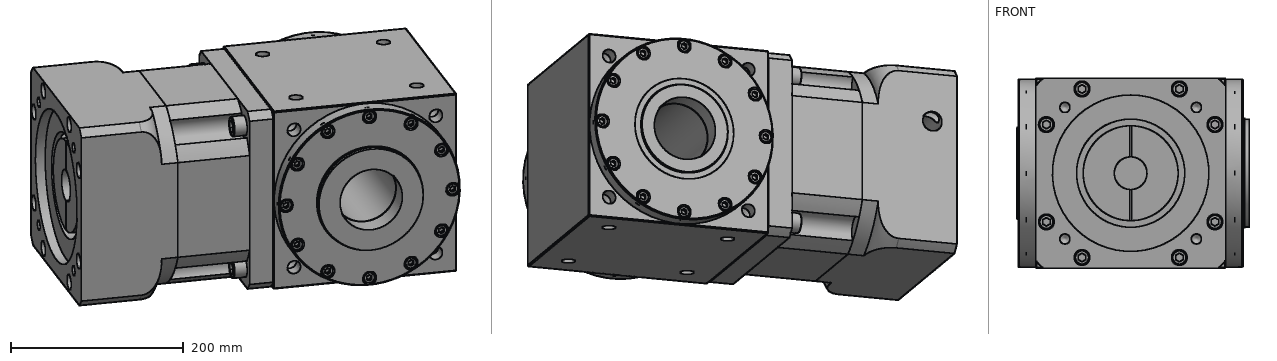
import cadquery as cq
import math

side = 220.0
half = side / 2
length = 450.0
edge_chamfer = 1.5
y_motor_face = half - length

cover_radius = 109.0
cover_face = 130.0
cover_screw_count = 12
cover_screw_circle = 100.0
cover_screw_sink_radius = 8.0
cover_screw_sink_depth = 9.5
cover_screw_head_radius = 6.5
cover_screw_head_height = 8.5
cover_screw_socket_radius = 3.5
cover_screw_socket_depth = 4.5
drive_rim_radius = 63.5
drive_rim_height = 2.0

shaft_bore_radius = 37.5
bore_relief_radius = 38.0
bore_land_length = 29.0
shaft_nose_radius = 53.0
shaft_nose_height = 2.0
seal_recess_radius = 60.5
seal_recess_depth = 0.5
shaft_nose_chamfer = 1.0
shaft_collar_radius = 62.5
shaft_collar_end = 137.2

corner_radius = 149.5
neck_radius = 124.5
y_flange_end = -half - 28.5
y_ring_end = y_flange_end - 86.0
stage_screw_offset = 87.8
stage_screw_head_radius = 11.5
stage_screw_head_height = 15.8
stage_screw_head_chamfer = 1.0
stage_screw_groove_radius = 15.8
stage_screw_socket_radius = 7.0
stage_screw_socket_depth = 8.0

y_neck_end = y_ring_end - 19.5
shoulder_radius = corner_radius - neck_radius
pilot_radius = 90.5
pilot_depth = 11.5
hub_chamber_radius = 62.5
y_chamber_floor = y_motor_face + 69.8
motor_screw_circle = 112.5
motor_screw_angles = (30, 60)
motor_screw_hole_radius = 9.0
motor_screw_hole_depth = 67.5
motor_screw_head_radius = 7.5
motor_screw_head_height = 11.2
motor_screw_socket_radius = 5.0
motor_screw_socket_depth = 6.8
motor_thread_circle = 107.5
motor_thread_radius = 6.0
motor_thread_depth = 27.0
access_hole_radius = 11.5
access_hole_y = y_motor_face + 30.0
access_hole_z = 44.0

hub_radius = 55.0
hub_bore_radius = 19.0
hub_slit_width = 2.2
hub_slit_depth = 45.0

mount_thread_radius = 7.88
mount_thread_depth = 18.0
top_thread_offset = 72.5
side_thread_offset = 85.0
drill_point_angle = 118


def cylinder(start, direction, radius, depth):
    """Cylinder from its start point along a direction."""
    return cq.Workplane(cq.Solid.makeCylinder(radius, depth, cq.Vector(*start), cq.Vector(*direction)))


def blind_hole(start, direction, radius, depth):
    """Drilled hole with a conical bottom, as a cutting tool."""
    tip = radius / math.tan(math.radians(drill_point_angle / 2))
    axis = cq.Vector(*direction)
    bottom = cq.Vector(*start) + axis * depth
    cone = cq.Solid.makeCone(radius, 0, tip, bottom, axis)
    return cylinder(start, direction, radius, depth).union(cq.Workplane(cone))


def screw_head(base, direction, radius, height, socket_radius, socket_depth):
    """Cap screw head rising from its base, with a hexagon socket."""
    top = cq.Vector(*base) + cq.Vector(*direction) * height
    plane = cq.Plane(origin=top, xDir=(0, 0, 1), normal=direction)
    socket = cq.Workplane(plane).polygon(6, 2 * socket_radius).extrude(-socket_depth)
    return cylinder(base, direction, radius, height).cut(socket)


def square_bar(y_start, y_end):
    """Square bar along the motor axis."""
    bar = cq.Workplane("XY").box(side, y_start - y_end, side)
    return bar.translate((0, (y_start + y_end) / 2, 0))


def corners(offset):
    """The four points (+-offset, +-offset)."""
    return [(a * offset, b * offset) for a in (-1, 1) for b in (-1, 1)]


def make_cube():
    """Chamfered cube with four mounting threads in each side face, top and bottom."""
    cube = cq.Workplane("XY").box(side, side, side).edges().chamfer(edge_chamfer)
    for x, y in corners(top_thread_offset):
        for z_sign in (-1, 1):
            cube = cube.cut(blind_hole(
                (x, y, z_sign * half), (0, 0, -z_sign), mount_thread_radius, mount_thread_depth))
    for y, z in corners(side_thread_offset):
        for x_sign in (-1, 1):
            cube = cube.cut(blind_hole(
                (x_sign * half, y, z), (-x_sign, 0, 0), mount_thread_radius, mount_thread_depth))
    return cube


def make_cover(x_sign):
    """Round cover with its ring of sunk screws; x_sign picks the end of the cube."""
    outward = (x_sign, 0, 0)
    cover = cylinder((x_sign * half, 0, 0), outward, cover_radius, cover_face - half)
    cover = cover.faces(">X" if x_sign > 0 else "<X").chamfer(edge_chamfer)
    x_seat = x_sign * (cover_face - cover_screw_sink_depth)
    for i in range(cover_screw_count):
        angle = 2 * math.pi * i / cover_screw_count
        y = cover_screw_circle * math.cos(angle)
        z = cover_screw_circle * math.sin(angle)
        seat = (x_seat, y, z)
        cover = cover.cut(cylinder(seat, outward, cover_screw_sink_radius, cover_screw_sink_depth))
        cover = cover.union(screw_head(
            seat, outward, cover_screw_head_radius, cover_screw_head_height,
            cover_screw_socket_radius, cover_screw_socket_depth))
    return cover


def make_stage_flange():
    """Square flange against the cube, with a cap screw near each corner."""
    forward = (0, -1, 0)
    flange = cylinder((0, -half, 0), forward, corner_radius, -half - y_flange_end)
    flange = flange.intersect(square_bar(-half, y_flange_end))
    for x, z in corners(stage_screw_offset):
        head = screw_head(
            (x, y_flange_end, z), forward, stage_screw_head_radius, stage_screw_head_height,
            stage_screw_socket_radius, stage_screw_socket_depth)
        head = head.edges("%CIRCLE").edges("<Y").chamfer(stage_screw_head_chamfer)
        flange = flange.union(head)
    return flange


def make_shaft_ends():
    """Raised nose of the output shaft at -X, and its rim and clamping collar at +X."""
    nose = cylinder((-cover_face, 0, 0), (-1, 0, 0), shaft_nose_radius, shaft_nose_height)
    nose = nose.faces("<X").chamfer(shaft_nose_chamfer)
    rim = cylinder((cover_face, 0, 0), (1, 0, 0), drive_rim_radius, drive_rim_height)
    collar = cylinder((cover_face, 0, 0), (1, 0, 0), shaft_collar_radius, shaft_collar_end - cover_face)
    return nose, rim, collar


def bore_tool():
    """Bore through the output shaft, slightly relieved between its two end lands."""
    x_nose = -cover_face - shaft_nose_height
    bore_length = shaft_collar_end - x_nose
    bore = cylinder((x_nose, 0, 0), (1, 0, 0), shaft_bore_radius, bore_length)
    relief = cylinder(
        (x_nose + bore_land_length, 0, 0), (1, 0, 0), bore_relief_radius, bore_length - 2 * bore_land_length)
    return bore.union(relief)


def make_housing():
    """Gearbox housing: cube, covers, stage flange, their screws and the hollow output shaft."""
    seal_recess = cylinder((-cover_face, 0, 0), (1, 0, 0), seal_recess_radius, seal_recess_depth)
    seal_recess = seal_recess.cut(
        cylinder((-cover_face, 0, 0), (1, 0, 0), shaft_nose_radius, seal_recess_depth))
    housing = make_cube().union(make_cover(-1)).union(make_cover(1)).union(make_stage_flange())
    housing = housing.cut(seal_recess)
    for shaft_end in make_shaft_ends():
        housing = housing.union(shaft_end)
    return housing.cut(bore_tool())


def make_gear_ring():
    """Gear ring behind the stage flange, grooved along its corners for access to the stage screws."""
    forward = (0, -1, 0)
    ring_length = y_flange_end - y_ring_end
    ring = cylinder((0, y_flange_end, 0), forward, neck_radius, ring_length)
    ring = ring.intersect(square_bar(y_flange_end, y_ring_end))
    for x, z in corners(stage_screw_offset):
        ring = ring.cut(cylinder((x, y_flange_end, z), forward, stage_screw_groove_radius, ring_length))
    return ring


def make_adapter_blank():
    """Square block whose corners are turned down to the neck through a rounded shoulder."""
    arc_mid = shoulder_radius * (1 - math.sqrt(0.5))
    turned = (
        cq.Workplane("XY")
        .moveTo(0, y_ring_end)
        .lineTo(neck_radius, y_ring_end)
        .lineTo(neck_radius, y_neck_end)
        .threePointArc(
            (corner_radius - arc_mid, y_neck_end - arc_mid),
            (corner_radius, y_neck_end - shoulder_radius))
        .lineTo(corner_radius, y_motor_face)
        .lineTo(0, y_motor_face)
        .close()
        .revolve(360, (0, 0, 0), (0, 1, 0))
    )
    return turned.intersect(square_bar(y_ring_end, y_motor_face))


def make_motor_adapter():
    """Adapter with pilot recess, hub chamber, access hole, sunk screws and motor threads."""
    inward = (0, 1, 0)
    adapter = make_adapter_blank()
    adapter = adapter.cut(cylinder((0, y_motor_face, 0), inward, pilot_radius, pilot_depth))
    adapter = adapter.cut(cylinder(
        (0, y_motor_face, 0), inward, hub_chamber_radius, y_chamber_floor - y_motor_face))
    adapter = adapter.cut(cylinder(
        (-half, access_hole_y, access_hole_z), (1, 0, 0), access_hole_radius, half))

    y_seat = y_motor_face + motor_screw_hole_depth
    for quadrant in range(4):
        for angle in motor_screw_angles:
            turn = math.radians(90 * quadrant + angle)
            x = motor_screw_circle * math.cos(turn)
            z = motor_screw_circle * math.sin(turn)
            adapter = adapter.cut(cylinder(
                (x, y_motor_face, z), inward, motor_screw_hole_radius, motor_screw_hole_depth))
            adapter = adapter.union(screw_head(
                (x, y_seat, z), (0, -1, 0), motor_screw_head_radius, motor_screw_head_height,
                motor_screw_socket_radius, motor_screw_socket_depth))

    for x, z in corners(motor_thread_circle * math.sqrt(0.5)):
        adapter = adapter.cut(blind_hole(
            (x, y_motor_face, z), inward, motor_thread_radius, motor_thread_depth))
    return adapter


def make_clamping_hub():
    """Slit hub standing on the floor of the adapter's chamber, level with the pilot recess."""
    y_face = y_motor_face + pilot_depth
    hub_length = y_chamber_floor - y_face
    hub = cylinder((0, y_face, 0), (0, 1, 0), hub_radius, hub_length)
    slit = cq.Workplane("XY").box(hub_slit_width, hub_slit_depth, 2 * hub_radius)
    hub = hub.cut(slit.translate((0, y_face + hub_slit_depth / 2, 0)))
    return hub.cut(cylinder((0, y_face, 0), (0, 1, 0), hub_bore_radius, hub_length))


housing = make_housing()
gear_ring = make_gear_ring()
motor_adapter = make_motor_adapter()
clamping_hub = make_clamping_hub()

result = cq.Compound.makeCompound([
    housing.solids().val(),
    gear_ring.solids().val(),
    motor_adapter.solids().val(),
    clamping_hub.solids().val(),
])